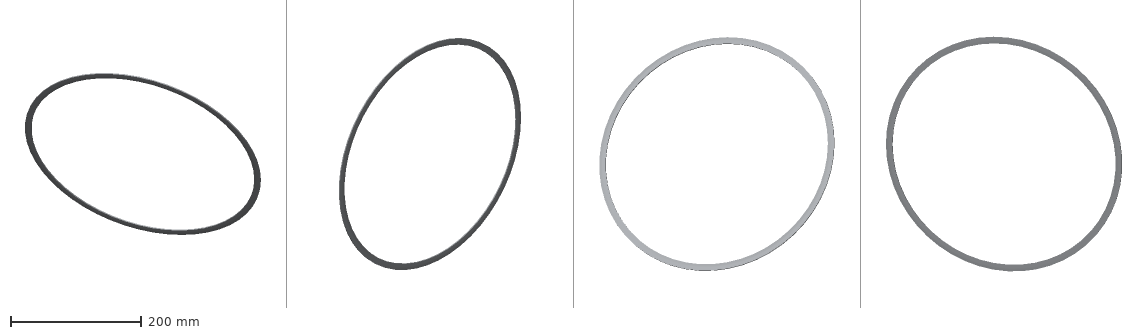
import cadquery as cq

outer_diameter = 376.5
rim_width = 10.0
thickness = 2.0
inner_diameter = outer_diameter - 2 * rim_width

result = (
    cq.Workplane("XZ")
    .circle(outer_diameter / 2)
    .circle(inner_diameter / 2)
    .extrude(thickness / 2, both=True)
)